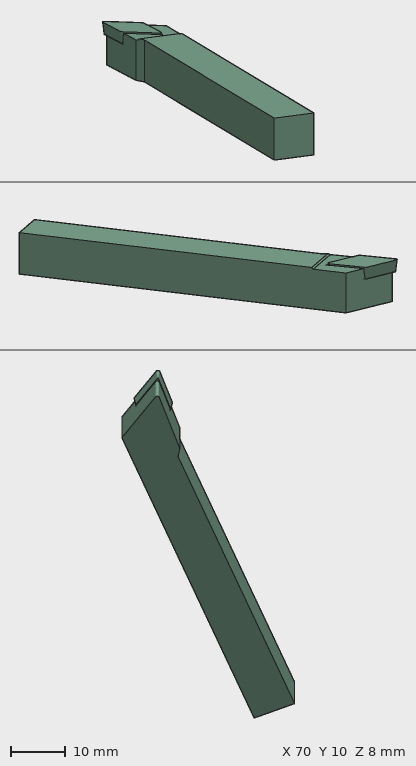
import cadquery as cq
import math

tool_length = 70.0
shank_size = 8.0
nose_reach = 2.0
lead_angle = 3.0

insert_angle = 55.0
inscribed_circle = 6.35
insert_thickness = 2.38
relief_angle = 7.0
nose_radius = 0.4

head_setback = 0.41
head_nose_radius = 0.4
head_top_drop = 0.3
head_top_end = 12.75
head_step_length = 0.3
head_side_end = 12.5
shank_side_start = 14.0


def direction(angle):
    return cq.Vector(math.cos(math.radians(angle)), math.sin(math.radians(angle)))


front_edge = direction(lead_angle)
side_edge = direction(lead_angle + insert_angle)
nose_axis = direction(lead_angle + insert_angle / 2)
half_angle_sine = math.sin(math.radians(insert_angle / 2))

nose_center = cq.Vector(nose_radius, nose_radius - nose_reach)
insert_corner = nose_center - nose_axis * (nose_radius / half_angle_sine)
head_corner = insert_corner + nose_axis * (head_setback / half_angle_sine)


def rhombus_outline():
    edge_length = inscribed_circle / math.sin(math.radians(insert_angle))
    corners = [
        insert_corner,
        insert_corner + front_edge * edge_length,
        insert_corner + (front_edge + side_edge) * edge_length,
        insert_corner + side_edge * edge_length,
    ]
    return cq.Sketch().polygon([c.toTuple()[:2] for c in corners + corners[:1]])


def relieved_block(outline):
    """Extrude an outline down from the top, with its sides leaning in at the relief angle."""
    top = cq.Workplane("XY", origin=(0, 0, shank_size))
    return top.placeSketch(outline).extrude(-insert_thickness, taper=relief_angle)


def make_insert():
    return relieved_block(rhombus_outline().vertices().fillet(nose_radius))


def make_pocket():
    """The space for the insert, with sharp corners that clear its rounded ones."""
    return relieved_block(rhombus_outline())


def make_holder():
    side_length = (shank_size - head_corner.y) / side_edge.y
    front_length = (head_side_end - head_corner.x) / front_edge.x
    head_back_corner = head_corner + side_edge * side_length
    head_front_end = head_corner + front_edge * front_length
    body = (
        cq.Workplane("XY")
        .moveTo(head_corner.x, head_corner.y)
        .lineTo(head_front_end.x, head_front_end.y)
        .lineTo(shank_side_start, 0)
        .lineTo(tool_length, 0)
        .lineTo(tool_length, shank_size)
        .lineTo(head_back_corner.x, head_back_corner.y)
        .close()
        .extrude(shank_size)
    )
    body = body.edges("|Z").edges("<X").fillet(head_nose_radius)

    head_top = shank_size - head_top_drop
    step_relief = (
        cq.Workplane("XZ", origin=(0, shank_size, 0))
        .moveTo(0, head_top)
        .lineTo(head_top_end, head_top)
        .lineTo(head_top_end + head_step_length, shank_size)
        .lineTo(0, shank_size)
        .close()
        .extrude(shank_size + nose_reach)
    )
    return body.cut(step_relief).cut(make_pocket())


insert = make_insert()
holder = make_holder()
result = cq.Compound.makeCompound([holder.val(), insert.val()])